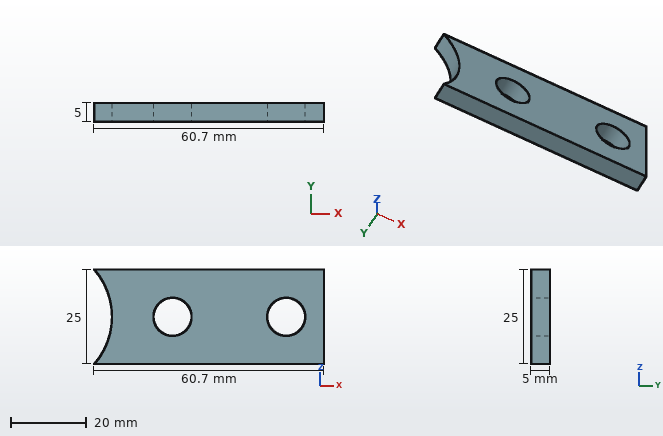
import cadquery as cq
import math

thickness = 5.0
height = 25.0
middle_length = 56.0
end_radius = 19.0
hole_count = 2
hole_diameter = 10.0
hole_edge_distance = 10.0
hole_spacing = 30.0

half_height = height / 2
tip_x = math.sqrt(end_radius**2 - half_height**2)
square_end_x = end_radius + middle_length
last_hole_x = square_end_x - hole_edge_distance
hole_centers = [(last_hole_x - i * hole_spacing, 0) for i in range(hole_count)]


def back_plane():
    """Sketch plane on the +Y face; extrusions from it run toward -Y."""
    return cq.Workplane("XZ", origin=(0, thickness / 2, 0))


def make_plate():
    """Flat bar with one square end and one concave round end."""
    return (
        back_plane()
        .moveTo(tip_x, -half_height)
        .lineTo(square_end_x, -half_height)
        .lineTo(square_end_x, half_height)
        .lineTo(tip_x, half_height)
        .threePointArc((end_radius, 0), (tip_x, -half_height))
        .close()
        .extrude(thickness)
    )


def make_holes():
    """Cylinders for the through holes along the centre line."""
    return (
        back_plane()
        .pushPoints(hole_centers)
        .circle(hole_diameter / 2)
        .extrude(thickness)
    )


result = make_plate().cut(make_holes())